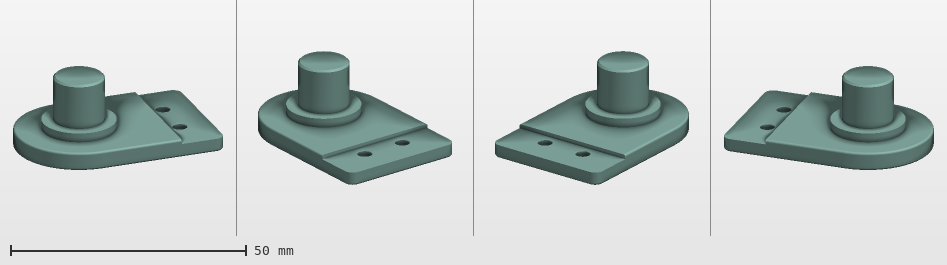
import cadquery as cq

width = 28.0
length = 42.0
plate_thickness = 4.0
edge_radius = 0.5
nose_radius = width / 2
back_y = length - nose_radius

tab_length = 10.0
tab_thickness = 3.0
tab_corner_radius = 2.0
step_y = back_y - tab_length

hole_diameter = 3.1
hole_chamfer = 0.1
hole_spacing = 10.0
hole_y = back_y - 7.0

shoulder_diameter = 16.0
shoulder_top = 6.0
pin_diameter = 11.0
pin_top = 16.0
pin_chamfer = 0.4


def make_plate():
    """Half-round plate with rounded back corners and softened rims."""
    plate = (
        cq.Workplane("XY")
        .moveTo(-nose_radius, 0)
        .threePointArc((0, -nose_radius), (nose_radius, 0))
        .lineTo(nose_radius, back_y)
        .lineTo(-nose_radius, back_y)
        .close()
        .extrude(plate_thickness)
    )
    plate = plate.edges("|Z and >Y").fillet(tab_corner_radius)
    return plate.faces("<Z or >Z").edges().fillet(edge_radius)


def cut_tab_step(plate):
    """Lower the top of the plate behind the step line."""
    step = (
        cq.Workplane("XY", origin=(0, step_y + tab_length / 2, tab_thickness))
        .rect(width, tab_length)
        .extrude(plate_thickness - tab_thickness)
    )
    return plate.cut(step)


def cut_holes(plate):
    """Drill both mounting holes and lightly break their top edges."""
    hole_radius = hole_diameter / 2
    drill = (
        cq.Workplane("XZ")
        .lineTo(hole_radius, 0)
        .lineTo(hole_radius, tab_thickness - hole_chamfer)
        .lineTo(hole_radius + hole_chamfer, tab_thickness)
        .lineTo(0, tab_thickness)
        .close()
        .revolve(360, (0, 0), (0, 1))
    )
    for x in (-hole_spacing / 2, hole_spacing / 2):
        plate = plate.cut(drill.translate((x, hole_y, 0)))
    return plate


def make_pin():
    """Pin standing on its shoulder disc, with a chamfered tip."""
    shoulder = (
        cq.Workplane("XY", origin=(0, 0, tab_thickness))
        .circle(shoulder_diameter / 2)
        .extrude(shoulder_top - tab_thickness)
    )
    pin = (
        cq.Workplane("XY", origin=(0, 0, tab_thickness))
        .circle(pin_diameter / 2)
        .extrude(pin_top - tab_thickness)
        .faces(">Z")
        .chamfer(pin_chamfer)
    )
    return shoulder.union(pin)


result = cut_holes(cut_tab_step(make_plate())).union(make_pin())